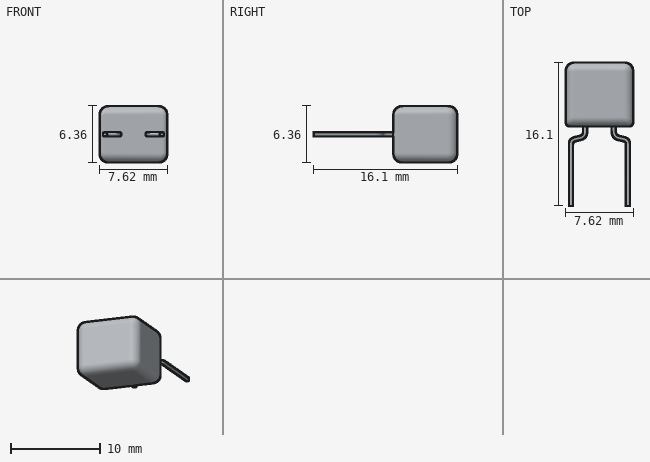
import cadquery as cq

body_width = 7.62
body_depth = 7.2
body_height = 6.36
edge_radius = 1.0
front_corner_radius = edge_radius / 2

overall_length = 16.14
lead_diameter = 0.5
root_offset = 1.6
tip_offset = 2 * root_offset
root_length = 0.5
jog_length = 1.48
root_handle = 1.29
tip_handle = 1.03
lead_reach = overall_length - body_depth


def make_body():
    """Block with small vertical front corners and larger rounds on all other edges."""
    block = cq.Workplane("XY").box(body_width, body_depth, body_height)
    block = block.translate((0, body_depth / 2, 0))
    block = block.edges("|Z").edges("<Y").fillet(front_corner_radius)
    block = block.edges("|Z").edges(">Y").fillet(edge_radius)
    return block.faces("<Z or >Z").edges().fillet(edge_radius)


def make_lead(side):
    """Bent round wire; side is -1 for the left lead and +1 for the right lead."""
    root_x = side * root_offset
    tip_x = side * tip_offset
    jog_end = root_length + jog_length
    path = (
        cq.Workplane("XY")
        .moveTo(root_x, 0)
        .lineTo(root_x, -root_length)
        .bezier(
            [
                (root_x, -root_length),
                (root_x, -root_length - root_handle),
                (tip_x, -jog_end + tip_handle),
                (tip_x, -jog_end),
            ]
        )
        .lineTo(tip_x, -lead_reach)
    )
    profile = cq.Workplane("XZ").center(root_x, 0).circle(lead_diameter / 2)
    return profile.sweep(path)


body = make_body()
leads = [make_lead(side) for side in (-1, 1)]

result = cq.Compound.makeCompound([body.val(), *[lead.val() for lead in leads]])